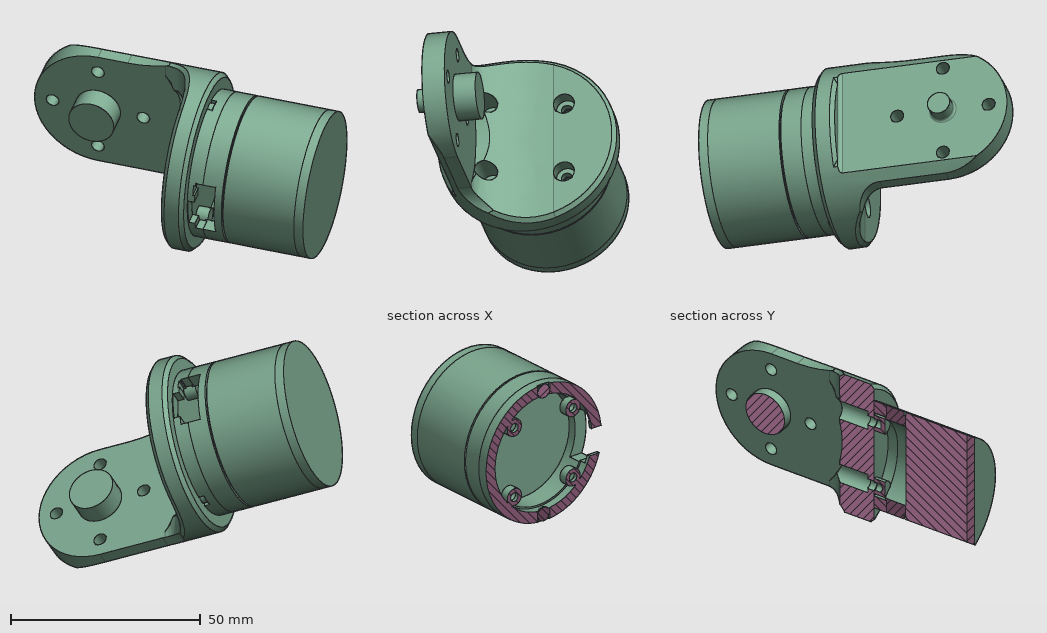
import cadquery as cq
import math


ARM_RADIUS = 17.5
ARM_FRONT_Y = 12.8
ARM_BACK_Y = 18.85
FRONT_BOSS_DIAMETER = 12.4
FRONT_BOSS_LENGTH = 6.0
BACK_BOSS_DIAMETER = 6.1
BACK_BOSS_LENGTH = 4.3
BACK_BOSS_FOOT_WIDTH = 0.55
BACK_BOSS_FOOT_HEIGHT = 1.0
ARM_HOLE_DIAMETER = 3.5
ARM_HOLE_CIRCLE_RADIUS = 12.5
UPPER_FLARE_START_X = 8.25
UPPER_FLARE_RADIUS = 35.0
UPPER_FLARE_REACH = 1.9
LOWER_FLARE_START_X = 18.0
LOWER_FLARE_RADIUS = 8.0

BLANK_START_X = -2 * ARM_RADIUS

FLANGE_RADIUS = 24.0
FLANGE_FRONT_X = 28.45
FLANGE_BACK_X = 34.6
FLANGE_CHAMFER = 1.1
BLEND_START_X = 18.55
BLEND_END_Y = -7.2
BACK_CORNER_FILLET = 1.1
SWEEP_CLEARANCE_RADIUS = 24.3

SCREW_OFFSET = 10.0
SCREW_SIDES = (-SCREW_OFFSET, SCREW_OFFSET)
SCREW_POSITIONS = [(y, z) for y in SCREW_SIDES for z in SCREW_SIDES]
COUNTERBORE_DIAMETER = 5.6
COUNTERBORE_DEPTH = 4.0
CLEARANCE_DIAMETER = 2.9

DRIVE_RADIUS = 19.75
RINGS_JOINT_X = 38.5
RING_END_X = 44.0
MOTOR_START_X = 44.5
CAP_START_X = 64.0
CAP_END_X = 66.5
FRONT_RING_BORE_RADIUS = 16.5
REAR_RING_BORE_RADIUS = 16.0
SPIGOT_LENGTH = 0.5
SPIGOT_START_X = RINGS_JOINT_X - SPIGOT_LENGTH
NECK_RADIUS = 18.75

POST_DIAMETER = 5.0
TAPPED_DIAMETER = 2.4
TAPPED_DEPTH = 2.0
DRILL_TIP_ANGLE = 118.0

WINDOW_START_X = 36.5
WINDOW_END_X = 42.0
WINDOW_HALF_HEIGHT = 7.5
TONGUE_START_X = 34.85
TONGUE_BOTTOM_Z = -5.4
TONGUE_TOP_Z = 2.2
NOTCH_START_X = 36.0
NOTCH_BOTTOM_Z = 4.2
NOTCH_TOP_Z = 6.8

DOWEL_DIAMETER = 4.0
DOWEL_CENTER_Z = DRIVE_RADIUS - DOWEL_DIAMETER / 2
DOWEL_POSITIONS = (-DOWEL_CENTER_Z, DOWEL_CENTER_Z)
DOWEL_FLANGE_DEPTH = 2.0
DOWEL_END_X = 36.0


def cylinder_x(radius, start_x, end_x, y=0.0, z=0.0):
    """Cylinder along X between two X positions."""
    return cq.Workplane("YZ", origin=(start_x, y, z)).circle(radius).extrude(end_x - start_x)


def cylinder_y(radius, start_y, end_y, x=0.0, z=0.0):
    """Cylinder along Y between two Y positions."""
    return cq.Workplane("XZ", origin=(x, start_y, z)).circle(radius).extrude(start_y - end_y)


def box_between(x_range, y_range, z_range):
    """Box between two limits on each axis."""
    size = [high - low for low, high in (x_range, y_range, z_range)]
    corner = (x_range[0], y_range[0], z_range[0])
    return cq.Workplane("XY").box(*size, centered=False).translate(corner)


def bracket_side_profile():
    """Arm and flange as an L in the XY plane, with an elliptical inner blend, extruded along Z."""
    blend_width = FLANGE_FRONT_X - BLEND_START_X
    blend_height = ARM_FRONT_Y - BLEND_END_Y
    diagonal = math.sqrt(0.5)
    corner_middle = BACK_CORNER_FILLET * (1 - diagonal)
    return (
        cq.Workplane("XY", origin=(0, 0, -FLANGE_RADIUS))
        .moveTo(BLANK_START_X, ARM_FRONT_Y)
        .lineTo(BLEND_START_X, ARM_FRONT_Y)
        .ellipseArc(blend_width, blend_height, 0, 90, startAtCurrent=True, sense=-1)
        .lineTo(FLANGE_FRONT_X, -FLANGE_RADIUS)
        .lineTo(FLANGE_BACK_X, -FLANGE_RADIUS)
        .lineTo(FLANGE_BACK_X, FLANGE_RADIUS)
        .lineTo(FLANGE_FRONT_X, FLANGE_RADIUS)
        .lineTo(FLANGE_FRONT_X, ARM_BACK_Y + BACK_CORNER_FILLET)
        .threePointArc(
            (FLANGE_FRONT_X - corner_middle, ARM_BACK_Y + corner_middle),
            (FLANGE_FRONT_X - BACK_CORNER_FILLET, ARM_BACK_Y),
        )
        .lineTo(BLANK_START_X, ARM_BACK_Y)
        .close()
        .extrude(2 * FLANGE_RADIUS)
    )


def flare_points(start_x, radius, reach):
    """Middle and end (x, z) of an arc leaving the arm edge tangentially and rising by `reach`."""
    end_angle = math.acos(1 - reach / radius)
    return [
        (start_x + radius * math.sin(angle), ARM_RADIUS + radius * (1 - math.cos(angle)))
        for angle in (end_angle / 2, end_angle)
    ]


def bracket_front_profile():
    """Rounded arm outline in the XZ plane that flares out to the flange, extruded along Y."""
    upper_middle, upper_end = flare_points(UPPER_FLARE_START_X, UPPER_FLARE_RADIUS, UPPER_FLARE_REACH)
    lower_middle, lower_end = flare_points(
        LOWER_FLARE_START_X, LOWER_FLARE_RADIUS, FLANGE_RADIUS - ARM_RADIUS
    )
    return (
        cq.Workplane("XZ", origin=(0, FLANGE_RADIUS, 0))
        .moveTo(LOWER_FLARE_START_X, -ARM_RADIUS)
        .lineTo(0, -ARM_RADIUS)
        .threePointArc((-ARM_RADIUS, 0), (0, ARM_RADIUS))
        .lineTo(UPPER_FLARE_START_X, ARM_RADIUS)
        .threePointArc(upper_middle, upper_end)
        .lineTo(upper_end[0], FLANGE_RADIUS)
        .lineTo(FLANGE_BACK_X, FLANGE_RADIUS)
        .lineTo(FLANGE_BACK_X, -FLANGE_RADIUS)
        .lineTo(lower_end[0], -lower_end[1])
        .threePointArc((lower_middle[0], -lower_middle[1]), (LOWER_FLARE_START_X, -ARM_RADIUS))
        .close()
        .extrude(2 * FLANGE_RADIUS)
    )


def upper_rim_chamfer():
    """Cutter for the front rim chamfer of the flange above the back of the arm."""
    cone_end_x = FLANGE_FRONT_X + FLANGE_CHAMFER
    inner_radius = FLANGE_RADIUS - FLANGE_CHAMFER
    base = cq.Vector(FLANGE_FRONT_X, 0, 0)
    cone = cq.Workplane(
        cq.Solid.makeCone(inner_radius, FLANGE_RADIUS, FLANGE_CHAMFER, base, cq.Vector(1, 0, 0))
    )
    flange_slice = box_between(
        (FLANGE_FRONT_X, cone_end_x),
        (ARM_BACK_Y + BACK_CORNER_FILLET, FLANGE_RADIUS),
        (-FLANGE_RADIUS, FLANGE_RADIUS),
    )
    return flange_slice.cut(cone)


def chamfered_bracket_blank():
    """L-shaped blank on the flange diameter, with its front and back rims chamfered."""
    blank = bracket_side_profile().intersect(cylinder_x(FLANGE_RADIUS, BLANK_START_X, FLANGE_BACK_X))
    margin = FLANGE_CHAMFER / 10
    inner_side = cq.selectors.BoxSelector(
        (BLANK_START_X - margin, -FLANGE_RADIUS - margin, -FLANGE_RADIUS - margin),
        (FLANGE_FRONT_X + margin, ARM_FRONT_Y + margin, FLANGE_RADIUS + margin),
        boundingbox=True,
    )
    blank = blank.edges(inner_side).edges("not |Z").chamfer(FLANGE_CHAMFER)
    blank = blank.cut(upper_rim_chamfer())
    return blank.faces(">X").edges().chamfer(FLANGE_CHAMFER)


def make_bracket():
    """Flange and arm in one piece, with bosses and holes."""
    body = chamfered_bracket_blank().intersect(bracket_front_profile())

    body = body.cut(cylinder_y(SWEEP_CLEARANCE_RADIUS, BLEND_END_Y, ARM_FRONT_Y))

    body = body.union(cylinder_y(FRONT_BOSS_DIAMETER / 2, ARM_FRONT_Y - FRONT_BOSS_LENGTH, ARM_FRONT_Y))
    body = body.union(make_back_boss())

    for side in (-1, 1):
        offset = side * ARM_HOLE_CIRCLE_RADIUS
        for x, z in ((offset, 0), (0, offset)):
            body = body.cut(cylinder_y(ARM_HOLE_DIAMETER / 2, ARM_FRONT_Y, ARM_BACK_Y, x, z))

    counterbore_floor_x = FLANGE_FRONT_X + COUNTERBORE_DEPTH
    for y, z in SCREW_POSITIONS:
        body = body.cut(cylinder_x(COUNTERBORE_DIAMETER / 2, BLEND_START_X, counterbore_floor_x, y, z))
        body = body.cut(cylinder_x(CLEARANCE_DIAMETER / 2, counterbore_floor_x, FLANGE_BACK_X, y, z))

    for z in DOWEL_POSITIONS:
        body = body.cut(make_dowel(z))
    return body


def make_back_boss():
    """Stub on the back of the arm, with a concave fillet at its foot."""
    radius = BACK_BOSS_DIAMETER / 2
    foot_radius = radius + BACK_BOSS_FOOT_WIDTH
    end_y = ARM_BACK_Y + BACK_BOSS_LENGTH
    return (
        cq.Workplane("XY")
        .moveTo(0, ARM_FRONT_Y)
        .lineTo(foot_radius, ARM_FRONT_Y)
        .lineTo(foot_radius, ARM_BACK_Y)
        .ellipseArc(BACK_BOSS_FOOT_WIDTH, BACK_BOSS_FOOT_HEIGHT, 180, 270, startAtCurrent=True, sense=-1)
        .lineTo(radius, end_y)
        .lineTo(0, end_y)
        .close()
        .revolve(360, (0, 0, 0), (0, 1, 0))
    )


def make_dowel(z):
    """Dowel set into the flange and reaching into the front ring."""
    return cylinder_x(DOWEL_DIAMETER / 2, FLANGE_BACK_X - DOWEL_FLANGE_DEPTH, DOWEL_END_X, 0, z)


def make_tapped_hole(y, z, has_drill_tip):
    """Cutter for a blind hole in a post: flat bottomed or with a conical drill tip."""
    radius = TAPPED_DIAMETER / 2
    hole = cylinder_x(radius, FLANGE_BACK_X, FLANGE_BACK_X + TAPPED_DEPTH, y, z)
    if has_drill_tip:
        tip_length = radius / math.tan(math.radians(DRILL_TIP_ANGLE / 2))
        base = cq.Vector(FLANGE_BACK_X + TAPPED_DEPTH, y, z)
        tip = cq.Solid.makeCone(radius, 0, tip_length, base, cq.Vector(1, 0, 0))
        hole = hole.union(cq.Workplane(tip))
    return hole


def make_window():
    """Cutter for the stepped window through the -Y wall of both rings."""
    wall = (-DRIVE_RADIUS, 0)
    window = box_between(
        (WINDOW_START_X, WINDOW_END_X), wall, (-WINDOW_HALF_HEIGHT, WINDOW_HALF_HEIGHT)
    )
    tongue = box_between((TONGUE_START_X, WINDOW_START_X), wall, (TONGUE_BOTTOM_Z, TONGUE_TOP_Z))
    notch = box_between((NOTCH_START_X, WINDOW_START_X), wall, (NOTCH_BOTTOM_Z, NOTCH_TOP_Z))
    return window.union(tongue).union(notch)


def make_front_ring():
    """Hollow ring behind the flange, with four screw posts and two open dowel slots."""
    ring = cylinder_x(DRIVE_RADIUS, FLANGE_BACK_X, RINGS_JOINT_X)
    ring = ring.cut(cylinder_x(FRONT_RING_BORE_RADIUS, FLANGE_BACK_X, RINGS_JOINT_X))
    for y, z in SCREW_POSITIONS:
        ring = ring.union(cylinder_x(POST_DIAMETER / 2, FLANGE_BACK_X, SPIGOT_START_X, y, z))
    for y, z in SCREW_POSITIONS:
        ring = ring.cut(make_tapped_hole(y, z, has_drill_tip=y * z < 0))

    half_width = DOWEL_DIAMETER / 2
    for z in DOWEL_POSITIONS:
        outer_z = math.copysign(DRIVE_RADIUS, z)
        slot = box_between((FLANGE_BACK_X, DOWEL_END_X), (-half_width, half_width), sorted((z, outer_z)))
        ring = ring.cut(slot).cut(make_dowel(z))
    return ring.cut(make_window())


def make_rear_ring():
    """Ring with a spigot into the front ring and a reduced neck against the motor."""
    ring = cylinder_x(DRIVE_RADIUS, RINGS_JOINT_X, RING_END_X)
    ring = ring.union(cylinder_x(FRONT_RING_BORE_RADIUS, SPIGOT_START_X, RINGS_JOINT_X))
    ring = ring.union(cylinder_x(NECK_RADIUS, RING_END_X, MOTOR_START_X))
    ring = ring.cut(cylinder_x(REAR_RING_BORE_RADIUS, SPIGOT_START_X, MOTOR_START_X))
    return ring.cut(make_window())


bracket = make_bracket()
front_ring = make_front_ring()
rear_ring = make_rear_ring()
motor = cylinder_x(DRIVE_RADIUS, MOTOR_START_X, CAP_START_X)
end_cap = cylinder_x(DRIVE_RADIUS, CAP_START_X, CAP_END_X)
dowels = [make_dowel(z) for z in DOWEL_POSITIONS]

result = cq.Compound.makeCompound(
    [
        bracket.val(),
        front_ring.val(),
        rear_ring.val(),
        motor.val(),
        end_cap.val(),
        *[dowel.val() for dowel in dowels],
    ]
)